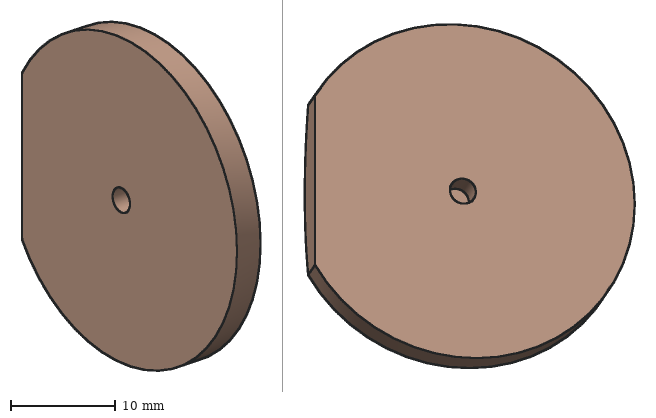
import cadquery as cq

disc_radius = 16.9
flat_distance = 14.52
total_thickness = 8.27
rim_thickness = 3.0
hole_diameter = 2.53
hole_depth = rim_thickness

dome_height = total_thickness - rim_thickness
sphere_radius = (disc_radius**2 + dome_height**2) / (2 * dome_height)
sphere_center_y = total_thickness - sphere_radius


def domed_disc():
    """Revolve the half section about the Y axis."""
    half_way_x = disc_radius / 2
    half_way_y = sphere_center_y + (sphere_radius**2 - half_way_x**2) ** 0.5
    return (
        cq.Workplane("XY")
        .lineTo(disc_radius, 0)
        .lineTo(disc_radius, rim_thickness)
        .threePointArc((half_way_x, half_way_y), (0, total_thickness))
        .close()
        .revolve(360, (0, 0, 0), (0, 1, 0))
    )


def flat_cutter():
    """Block that removes everything beyond the flat on the -X side."""
    block_size = 2 * disc_radius
    return cq.Workplane("XY").box(block_size, block_size, block_size).translate(
        (-flat_distance - block_size / 2, 0, 0)
    )


def blind_hole():
    """Central hole entering from the flat face."""
    return cq.Workplane("XZ").circle(hole_diameter / 2).extrude(-hole_depth)


result = domed_disc().cut(flat_cutter()).cut(blind_hole())